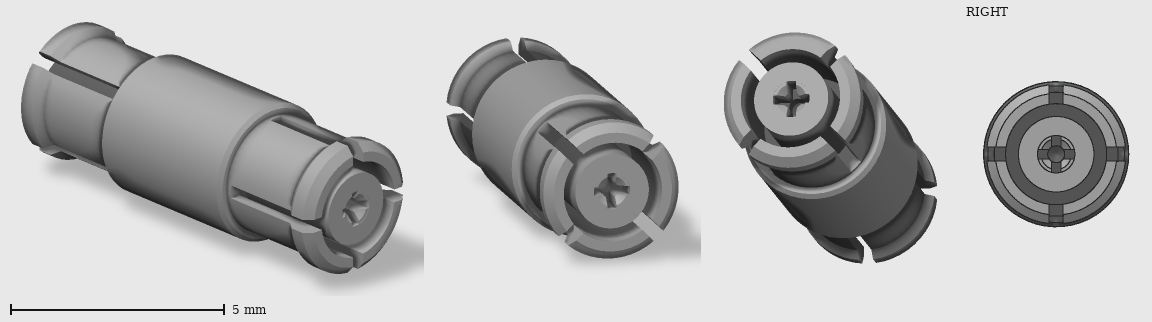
import cadquery as cq

length = 9.93
half_length = length / 2

body_radius = 1.7
body_half_length = 2.05
body_chamfer = 0.1

neck_radius = 1.45
lip_radius = 1.63
mouth_radius = 1.42
lip_front_chamfer = 0.19
lip_flat = 0.37
lip_back_taper = 0.23
sleeve_bore_radius = 1.18
sleeve_floor = body_half_length
slot_floor = 2.16
slot_width = 0.33

core_radius = 0.88
core_half_length = 4.89

socket_radius = 0.44
socket_recess = 0.01
contact_lead_in_radius = 0.36
contact_bore_radius = 0.2
contact_lead_in_depth = contact_lead_in_radius - contact_bore_radius
contact_bore_depth = 1.19
contact_point_depth = contact_bore_radius / 2
contact_slot_width = 0.22
contact_slot_depth = 0.79


def make_outside():
    """Turned outside profile: body, necks and flared lips."""
    lip_front = half_length - lip_front_chamfer
    lip_back = lip_front - lip_flat
    lip_base = lip_back - lip_back_taper
    right_half = [
        (body_half_length - body_chamfer, body_radius),
        (body_half_length, body_radius - body_chamfer),
        (body_half_length, neck_radius),
        (lip_base, neck_radius),
        (lip_back, lip_radius),
        (lip_front, lip_radius),
        (half_length, mouth_radius),
        (half_length, 0),
    ]
    left_half = [(-x, radius) for x, radius in reversed(right_half)]
    profile = cq.Workplane("XY").polyline(left_half + right_half).close()
    return profile.revolve(360, (0, 0, 0), (1, 0, 0))


def make_end_cut():
    """Annular space around the core and the contact socket, at the +X end."""
    contact_face = core_half_length - socket_recess
    bore_start = contact_face - contact_lead_in_depth
    bore_end = contact_face - contact_bore_depth
    profile = [
        (bore_end - contact_point_depth, 0),
        (bore_end, contact_bore_radius),
        (bore_start, contact_bore_radius),
        (contact_face, contact_lead_in_radius),
        (contact_face, socket_radius),
        (core_half_length, socket_radius),
        (core_half_length, core_radius),
        (sleeve_floor, core_radius),
        (sleeve_floor, sleeve_bore_radius),
        (half_length, sleeve_bore_radius),
        (half_length, 0),
    ]
    cut = cq.Workplane("XY").polyline(profile).close()
    return cut.revolve(360, (0, 0, 0), (1, 0, 0))


def make_cross(width, radius, start, end):
    """Two crossed bars along X, trimmed to a round outline."""
    span = 2 * radius
    plane = cq.Workplane("YZ").workplane(offset=start)
    bars = plane.rect(span, width).extrude(end - start)
    bars = bars.union(plane.rect(width, span).extrude(end - start))
    return bars.intersect(plane.circle(radius).extrude(end - start))


def make_sleeve_slots():
    """Four slots through the sleeve wall, leaving the core whole."""
    slots = make_cross(slot_width, body_radius, slot_floor, half_length)
    core = cq.Workplane("YZ").circle(sleeve_bore_radius).extrude(half_length)
    return slots.cut(core)


def make_contact_slots():
    """Crossed slots that split the contact into four fingers."""
    slot_end = core_half_length - contact_slot_depth
    return make_cross(contact_slot_width, socket_radius, slot_end, core_half_length)


end_cut = make_end_cut()
sleeve_slots = make_sleeve_slots()
contact_slots = make_contact_slots()

left_sleeve_slots = sleeve_slots.rotate((0, 0, 0), (1, 0, 0), 45)

result = make_outside()
for cutter in (contact_slots, end_cut, sleeve_slots):
    result = result.cut(cutter)
for cutter in (contact_slots, end_cut, left_sleeve_slots):
    result = result.cut(cutter.mirror("YZ"))